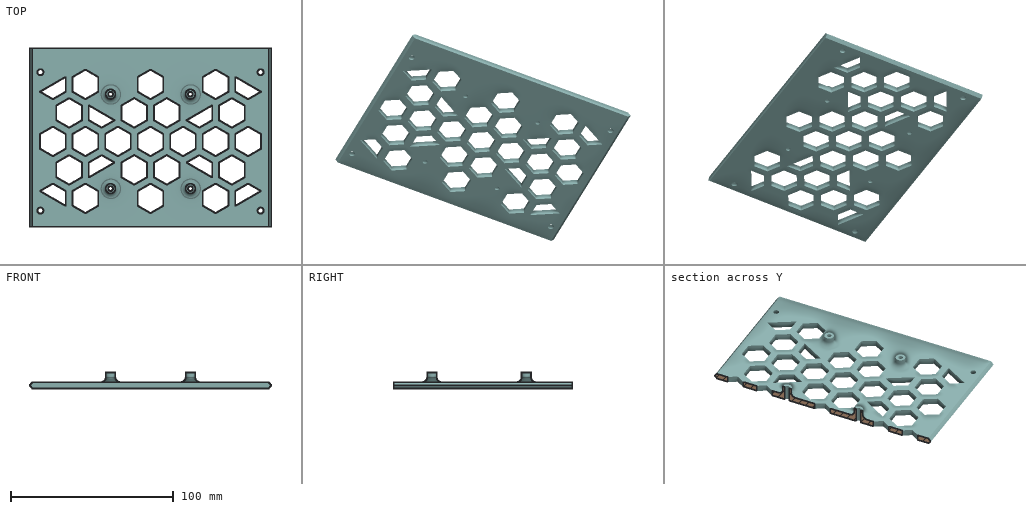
import cadquery as cq
import math

plate_length = 148.6
plate_width = 109.8
plate_thickness = 4.0
edge_bevel = 1.8
total_height = 10.0

pattern_y = -2.4

column_span = 119.9
row_span = 70.0
hex_pitch = column_span / (7 - 1)
row_pitch = row_span / (5 - 1)
hex_across_flats = 15.6
hex_corner_radius = hex_across_flats / math.sqrt(3)

screw_hole_diameter = 3.5
screw_spacing_x = 135.2
screw_spacing_y = 85.0

boss_spacing_x = 49.0
boss_spacing_y = 58.0
boss_diameter = 6.0
boss_bore_diameter = 2.8
foot_radius = 3.0

full_hexagons = [
    (0, (-3, -2, -1, 0, 1, 2, 3)),
    (1, (-2.5, -0.5, 0.5, 2.5)),
    (2, (-2, 0, 2)),
]
half_hexagons = [
    (1, 1.5, 1),
    (2, 3, -1),
]


def hexagon_corner(index):
    """Corner of a hexagon with upright side walls, counted from the top corner."""
    angle = math.radians(90 + 60 * index)
    return (hex_corner_radius * math.cos(angle), hex_corner_radius * math.sin(angle))


def opening(column, row, outline, flip_x=1, flip_y=1):
    """Prism through the plate, mirrored about its own cell centre if asked."""
    center_x = column * hex_pitch
    center_y = pattern_y + row * row_pitch
    points = [(center_x + flip_x * x, center_y + flip_y * y) for x, y in outline]
    return cq.Workplane("XY").polyline(points).close().extrude(plate_thickness)


def make_plate():
    """Slab along Y with a pointed edge on both X sides."""
    half_length = plate_length / 2
    flat_half_length = half_length - edge_bevel
    middle = plate_thickness / 2
    profile = [
        (-flat_half_length, 0),
        (flat_half_length, 0),
        (half_length, middle),
        (flat_half_length, plate_thickness),
        (-flat_half_length, plate_thickness),
        (-half_length, middle),
    ]
    return cq.Workplane("XZ").polyline(profile).close().extrude(plate_width / 2, both=True)


def cut_honeycomb(body):
    hexagon = [hexagon_corner(i) for i in range(6)]
    half_hexagon = [hexagon_corner(i) for i in (2, 3, 4, 5)]
    for row, columns in full_hexagons:
        for signed_row in {row, -row}:
            for column in columns:
                body = body.cut(opening(column, signed_row, hexagon))
    for row, column, wall_side in half_hexagons:
        for side_x in (-1, 1):
            for side_y in (-1, 1):
                cell = opening(side_x * column, side_y * row, half_hexagon, side_x * wall_side, side_y)
                body = body.cut(cell)
    return body


def make_boss():
    """Solid pillar whose foot flares tangentially into the plate."""
    radius = boss_diameter / 2
    arc_offset = foot_radius * (1 - math.sqrt(0.5))
    foot_top = plate_thickness + foot_radius
    return (
        cq.Workplane("XZ")
        .moveTo(0, 0)
        .lineTo(radius + foot_radius, 0)
        .lineTo(radius + foot_radius, plate_thickness)
        .threePointArc((radius + arc_offset, plate_thickness + arc_offset), (radius, foot_top))
        .lineTo(radius, total_height)
        .lineTo(0, total_height)
        .close()
        .revolve(360, (0, 0, 0), (0, 1, 0))
    )


def corners(spacing_x, spacing_y):
    """Four points of a rectangle around the pattern centre."""
    return [
        (side_x * spacing_x / 2, pattern_y + side_y * spacing_y / 2)
        for side_x in (-1, 1)
        for side_y in (-1, 1)
    ]


def through_holes(points, diameter):
    return cq.Workplane("XY").pushPoints(points).circle(diameter / 2).extrude(total_height)


boss_points = corners(boss_spacing_x, boss_spacing_y)
screw_points = corners(screw_spacing_x, screw_spacing_y)

result = cut_honeycomb(make_plate())
for x, y in boss_points:
    result = result.union(make_boss().translate((x, y, 0)))
result = result.cut(through_holes(boss_points, boss_bore_diameter))
result = result.cut(through_holes(screw_points, screw_hole_diameter))